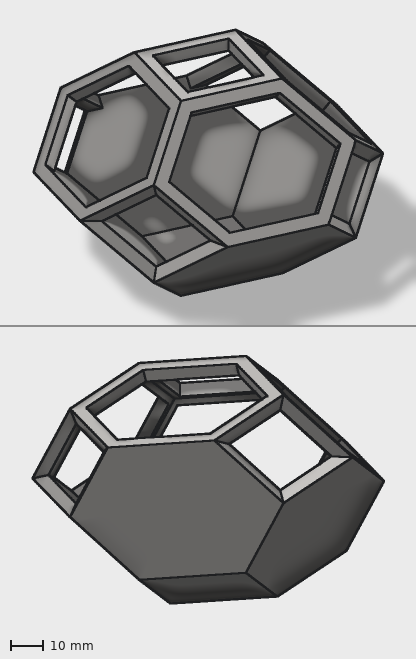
import cadquery as cq
import math

WIDTH = 104.0
HALF_WIDTH = WIDTH / 2
HALF_HEIGHT = WIDTH / 3
TOP_EDGE = WIDTH / 3
CORNER_REACH = HALF_WIDTH + TOP_EDGE / 2

TOP_WINDOW = 26.0
FRAME = (TOP_EDGE - TOP_WINDOW) / 2
WALL = FRAME
CUT_DEPTH = 1.5 * WALL
BEVEL_DEPTH = WALL / 2

DIAMOND_HALF_LENGTH = TOP_EDGE / math.sqrt(2)
DIAMOND_HALF_HEIGHT = HALF_HEIGHT / 2


def sloped_solid(reach, half_height):
    """Region with |x| + |z| and |y| + |z| up to reach, cut flat at both ends."""
    profile = [
        (half_height - reach, half_height),
        (reach - half_height, half_height),
        (reach, 0),
        (reach - half_height, -half_height),
        (half_height - reach, -half_height),
        (-reach, 0),
    ]
    along_y = cq.Workplane("XZ").polyline(profile).close().extrude(reach, both=True)
    along_x = cq.Workplane("YZ").polyline(profile).close().extrude(reach, both=True)
    return along_y.intersect(along_x)


def clip_corners(solid):
    """Cut the four side corners with vertical planes."""
    side = CORNER_REACH * math.sqrt(2)
    square_column = cq.Workplane("XY").box(side, side, WIDTH).rotate((0, 0, 0), (0, 0, 1), 45)
    return solid.intersect(square_column)


def hexagon_window():
    """Window in the sloping face toward +X, cut square to that face."""
    face = cq.Plane(
        origin=(HALF_WIDTH - DIAMOND_HALF_HEIGHT, 0, DIAMOND_HALF_HEIGHT),
        xDir=(0, 1, 0),
        normal=(1, 0, 1),
    )
    half_edge = TOP_EDGE / 2
    half_rise = HALF_HEIGHT / math.sqrt(2)
    side_corner = CORNER_REACH / 2
    outline = [
        (-half_edge, half_rise),
        (half_edge, half_rise),
        (side_corner, 0),
        (half_edge, -half_rise),
        (-half_edge, -half_rise),
        (-side_corner, 0),
    ]
    return cq.Workplane(face).polyline(outline).close().offset2D(-FRAME).extrude(-CUT_DEPTH)


def diamond_opening():
    """Inward-tapering opening over the whole diamond face toward +X +Y."""
    face = cq.Plane(
        origin=(CORNER_REACH / 2, CORNER_REACH / 2, 0),
        xDir=(-1, 1, 0),
        normal=(-1, -1, 0),
    )
    shrink = 1 - 3 * BEVEL_DEPTH / DIAMOND_HALF_LENGTH

    def outline(scale):
        length = DIAMOND_HALF_LENGTH * scale
        height = DIAMOND_HALF_HEIGHT * scale
        return [(length, 0), (0, height), (-length, 0), (0, -height)]

    return (
        cq.Workplane(face)
        .polyline(outline(1))
        .close()
        .workplane(offset=BEVEL_DEPTH)
        .polyline(outline(shrink))
        .close()
        .loft(ruled=True)
    )


body = clip_corners(sloped_solid(HALF_WIDTH, HALF_HEIGHT))
cavity = clip_corners(sloped_solid(HALF_WIDTH - WALL * math.sqrt(2), HALF_HEIGHT - WALL))
result = body.cut(cavity)

result = result.cut(
    cq.Workplane("XY").workplane(offset=HALF_HEIGHT).rect(TOP_WINDOW, TOP_WINDOW).extrude(-CUT_DEPTH)
)

for angle in range(0, 360, 90):
    for opening in (hexagon_window(), diamond_opening()):
        result = result.cut(opening.rotate((0, 0, 0), (0, 0, 1), angle))